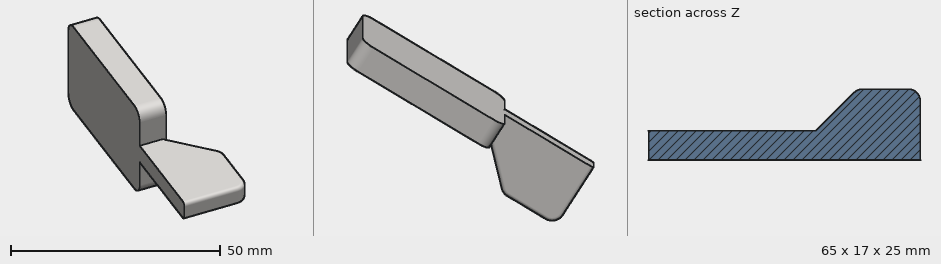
import cadquery as cq

total_length = 65.0
block_length = 40.0
block_depth = 7.0
block_height = 25.0
corner_radius = 3.0

tab_depth = 17.0
tab_thickness = 5.0
tab_edge_radius = 1.0
slope_run = tab_depth - block_depth

root_x = block_length - corner_radius


def make_block():
    """Plate in the XZ plane with rounded corners, front face at Y = 0."""
    return (
        cq.Workplane("XY")
        .box(block_length, block_depth, block_height, centered=(False, False, True))
        .edges("|Y")
        .fillet(corner_radius)
    )


def make_tab():
    """Flat tab with a sloped rear edge, rounded corners and softened rim."""
    tab = (
        cq.Workplane("XY")
        .workplane(offset=-tab_thickness / 2)
        .moveTo(root_x, 0)
        .lineTo(total_length, 0)
        .lineTo(total_length, tab_depth)
        .lineTo(block_length + slope_run, tab_depth)
        .lineTo(block_length, block_depth)
        .lineTo(root_x, block_depth - corner_radius)
        .close()
        .extrude(tab_thickness)
    )
    tab = tab.faces(">Y").edges("|Z").fillet(corner_radius)
    rim = tab.faces("|Z").edges("not(<Y or <X)")
    return rim.fillet(tab_edge_radius)


result = make_block().union(make_tab())